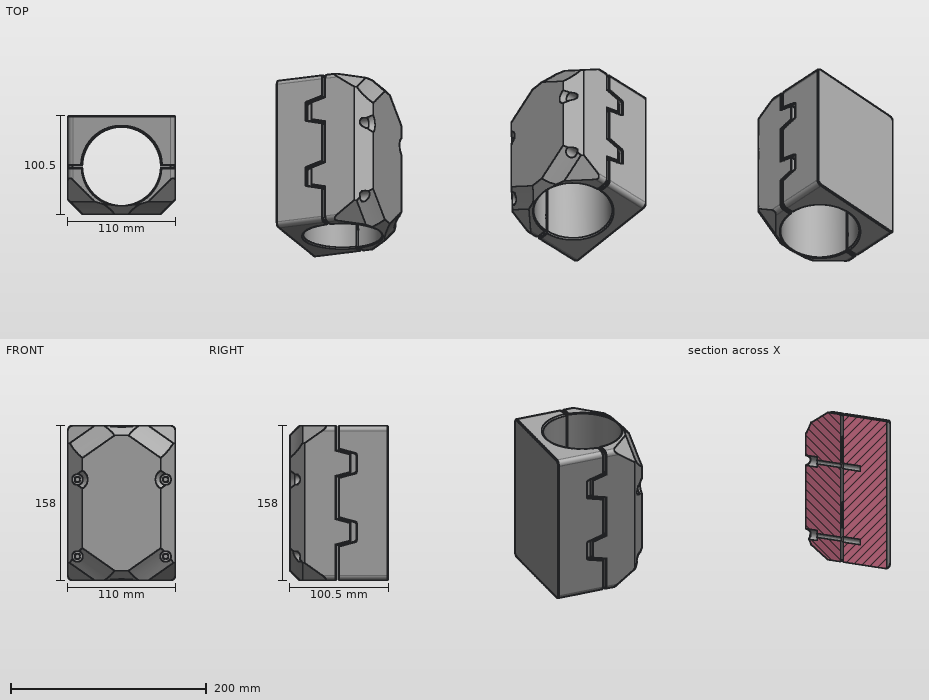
import cadquery as cq
import math

height = 158.0
width = 110.0
depth = 100.5
back_y = 51.4
front_y = back_y - depth
half_width = width / 2
half_height = height / 2
bore_radius = 40.0
front_bore_offset = 0.5
corner_radius = 5.0
edge_chamfer = 1.0
back_bore_chamfer = 1.6
front_bore_chamfer = 1.0

back_joint_y = 0.5
selection_margin = 0.2
front_joint_y = -1.7

tongue_spacing = 70.0
upper_tongue_z = 40.6
tongue_heights = (upper_tongue_z, upper_tongue_z - tongue_spacing)
tongue_tip_y = 13.1
tongue_base_height = 27.3
tongue_thickness = 5.0
notch_floor_y = 18.5
notch_mouth_height = 28.5
notch_corner_radius = 1.9
flank_angle = math.radians(15)

side_bevel = 15.0
end_bevel = 10.0
corner_angle = math.radians(35)
corner_slope = math.radians(30)
scoop_inner_reach = 60.7
scoop_outer_reach = 80.5
scoop_depth = 13.0
scoop_sag = 0.6

screw_x = 45.0
upper_screw_z = 24.0
screw_spacing = 78.5
screw_heights = (upper_screw_z, upper_screw_z - screw_spacing)
clearance_diameter = 5.2
insert_diameter = 6.5
head_diameter = 11.0
head_floor_depth = 19.9
countersink_depth = 4.9
insert_depth = 19.9


def block(near_y, far_y):
    """Half block with the edges that run along Y rounded."""
    body = cq.Workplane("XY").box(width, far_y - near_y, height)
    return body.edges("|Y").fillet(corner_radius).translate((0, (near_y + far_y) / 2, 0))


def bore(chamfer):
    """Bore with a flared mouth at each end."""
    profile = [
        (0, -half_height),
        (bore_radius + chamfer, -half_height),
        (bore_radius, chamfer - half_height),
        (bore_radius, half_height - chamfer),
        (bore_radius + chamfer, half_height),
        (0, half_height),
    ]
    return cq.Workplane("XZ").polyline(profile).close().revolve(360, (0, 0, 0), (0, 1, 0))


def side_plates(mid_z, start_y, end_y, start_height):
    """Tapered plates, one at each side wall, that narrow from start_y towards end_y."""
    start_half = start_height / 2
    end_half = start_half - (end_y - start_y) * math.tan(flank_angle)
    outline = [
        (start_y, mid_z - start_half),
        (end_y, mid_z - end_half),
        (end_y, mid_z + end_half),
        (start_y, mid_z + start_half),
    ]
    plate = cq.Workplane("YZ").polyline(outline).close().extrude(tongue_thickness)
    inner_x = half_width - tongue_thickness
    return [plate.translate((x, 0, 0)) for x in (inner_x, -half_width)]


def cylinder(x, z, diameter, start_y, end_y):
    """Cylinder along Y."""
    disc = cq.Workplane("XZ", origin=(x, start_y, z)).circle(diameter / 2)
    return disc.extrude(start_y - end_y)


def screw_cutter(x, z):
    """Clearance hole and head recess of one screw in the front half."""
    floor_y = front_y + head_floor_depth
    head = cylinder(x, z, head_diameter, front_y, floor_y)
    return head.union(cylinder(x, z, clearance_diameter, front_y, front_joint_y))


def countersink(x, z):
    """45 degree mouth that narrows down to the head recess."""
    head_radius = head_diameter / 2
    mouth_radius = head_radius + countersink_depth
    profile = [
        (0, front_y),
        (mouth_radius, front_y),
        (head_radius, front_y + countersink_depth),
        (0, front_y + countersink_depth),
    ]
    cone = cq.Workplane("XY").polyline(profile).close().revolve(360, (0, 0, 0), (0, 1, 0))
    return cone.translate((x, 0, z))


def corner_cutter():
    """Prism that cuts one front corner: a scooped band at the front, a sloping flat behind it."""
    plane = cq.Plane(
        origin=(0, 0, 0),
        xDir=(math.sin(corner_angle), 0, math.cos(corner_angle)),
        normal=(-math.cos(corner_angle), 0, math.sin(corner_angle)),
    )
    outer_y = front_y + scoop_depth
    far_reach = half_width + half_height
    far_y = outer_y + (far_reach - scoop_outer_reach) / math.tan(corner_slope)
    chord_angle = math.atan2(scoop_depth, scoop_outer_reach - scoop_inner_reach)
    scoop_middle = (
        (scoop_inner_reach + scoop_outer_reach) / 2 - scoop_sag * math.sin(chord_angle),
        front_y + scoop_depth / 2 + scoop_sag * math.cos(chord_angle),
    )
    profile = (
        cq.Workplane(plane)
        .moveTo(scoop_inner_reach, front_y)
        .threePointArc(scoop_middle, (scoop_outer_reach, outer_y))
        .lineTo(far_reach, far_y)
        .lineTo(far_reach, front_y)
        .close()
    )
    return profile.extrude(height, both=True)


def joint_rim(body, joint_y, reach_y):
    """Edges around the joint on the outer walls, including the tongue or notch outlines."""

    def edges_between(low_y, high_y):
        return cq.selectors.BoxSelector(
            (-width, low_y - selection_margin, -height),
            (width, high_y + selection_margin, height),
            boundingbox=True,
        )

    joint_plane = edges_between(joint_y, joint_y)
    joint_zone = edges_between(min(joint_y, reach_y), max(joint_y, reach_y))
    side_edges = body.faces("<X or >X").edges(joint_zone)
    end_edges = body.faces("<Z or >Z").edges(joint_plane)
    round_edges = body.edges("%CIRCLE").edges(joint_plane)
    return side_edges.add(end_edges).add(round_edges)


def make_back_half():
    body = block(back_joint_y, back_y)
    body = body.faces(">Y").edges().chamfer(edge_chamfer)
    for z in tongue_heights:
        for notch in side_plates(z, back_joint_y, notch_floor_y, notch_mouth_height):
            body = body.cut(notch.faces(">Y").edges("|X").fillet(notch_corner_radius))
    body = joint_rim(body, back_joint_y, notch_floor_y).chamfer(edge_chamfer)
    body = body.cut(bore(back_bore_chamfer))
    for x in (-screw_x, screw_x):
        for z in screw_heights:
            body = body.cut(cylinder(x, z, insert_diameter, back_joint_y, back_joint_y + insert_depth))
    return body


def bevel_front(body):
    """Cut the long side bevels, the end bevels and the four corners."""
    side_outline = [
        (half_width - side_bevel, front_y),
        (half_width, front_y),
        (half_width, front_y + side_bevel),
    ]
    end_outline = [
        (front_y, half_height - end_bevel),
        (front_y, half_height),
        (front_y + end_bevel, half_height),
    ]
    side = cq.Workplane("XY").polyline(side_outline).close().extrude(half_height, both=True)
    end = cq.Workplane("YZ").polyline(end_outline).close().extrude(half_width, both=True)
    right_corner = corner_cutter()
    left_corner = right_corner.mirror("YZ")
    body = body.cut(side).cut(side.mirror("YZ")).cut(end).cut(end.mirror("XY"))
    for corner in (right_corner, left_corner):
        body = body.cut(corner).cut(corner.mirror("XY"))
    return body


def make_front_half():
    body = block(front_y, front_joint_y)
    for z in tongue_heights:
        for tongue in side_plates(z, front_joint_y, tongue_tip_y, tongue_base_height):
            body = body.union(tongue)
    body = joint_rim(body, front_joint_y, tongue_tip_y).chamfer(edge_chamfer)
    body = bevel_front(body)
    body = body.cut(bore(front_bore_chamfer).translate((0, -front_bore_offset, 0)))
    for x in (-screw_x, screw_x):
        for z in screw_heights:
            body = body.cut(screw_cutter(x, z))
        body = body.cut(countersink(x, upper_screw_z))
    return body


back_half = make_back_half()
front_half = make_front_half()

result = cq.Compound.makeCompound([back_half.solids().val(), front_half.solids().val()])